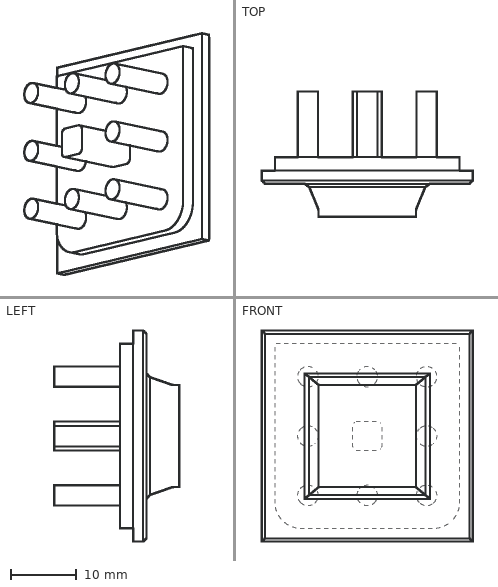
import cadquery as cq

plate_side = 32
plate_thickness = 2.0
plate_chamfer = 0.5

backing_side = 28.0
backing_thickness = 2.0
backing_corner_radius = 4.0

pin_diameter = 3.1
pin_length = 10.0
pin_pitch = 9.0
post_side = 4.45
post_corner_radius = 0.8

root_side = 19.0
root_height = 0.5
taper_base_x = 17.6
taper_base_z = 17.9
taper_height = 3.25
shoulder_height = 0.35
shoulder_inset = 0.05
cap_x = 14.8
cap_z = 15.5
cap_height = 0.85

plate_front = -plate_thickness


def workplane_at(y):
    """XZ workplane at the given Y; positive extrusion goes toward +Y."""
    return cq.Workplane("XZ", origin=(0, y, 0)).transformed(rotate=(0, 180, 0))


def make_plate():
    plate = workplane_at(plate_front).rect(plate_side, plate_side).extrude(plate_thickness)
    return plate.faces("<Y").edges().chamfer(plate_chamfer)


def make_button():
    shoulder_x = cap_x + 2 * shoulder_inset
    shoulder_z = cap_z + 2 * shoulder_inset
    upper_levels = [
        (taper_base_x, taper_base_z, root_height),
        (shoulder_x, shoulder_z, taper_height),
        (cap_x, cap_z, shoulder_height),
        (cap_x, cap_z, cap_height),
    ]
    outline = workplane_at(plate_front).rect(root_side, root_side)
    for size_x, size_z, rise in upper_levels:
        outline = outline.workplane(offset=-rise).rect(size_x, size_z)
    return outline.loft(ruled=True)


def make_backing():
    backing = workplane_at(0).rect(backing_side, backing_side).extrude(backing_thickness)
    return backing.faces("<Z").edges("|Y").fillet(backing_corner_radius)


def make_pins():
    steps = (-1, 0, 1)
    places = [(i * pin_pitch, j * pin_pitch) for i in steps for j in steps if (i, j) != (0, 0)]
    return workplane_at(backing_thickness).pushPoints(places).circle(pin_diameter / 2).extrude(pin_length)


def make_post():
    post = workplane_at(backing_thickness).rect(post_side, post_side).extrude(pin_length)
    return post.edges("|Y").fillet(post_corner_radius)


result = (
    make_plate()
    .union(make_button())
    .union(make_backing())
    .union(make_pins())
    .union(make_post())
)